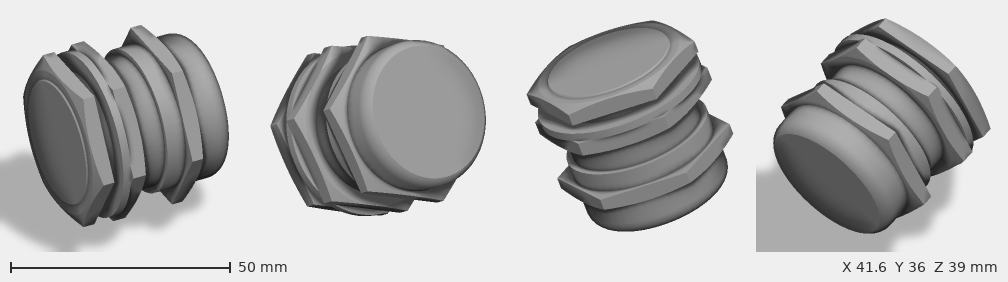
import cadquery as cq
import math


nut_front = 0.37
nut_back = 4.32
washer_front = 7.0
washer_back = 8.9
body_hex_back = 13.0
cap_front = 19.5
cap_hex_front = 24.0
cap_hex_back = 28.0
dome_start = 33.0
total_length = 36.0

thread_diameter = 30.0
thread_chamfer = 0.5
washer_diameter = 39.0
body_diameter = 31.0
cap_diameter = 34.0
dome_end_diameter = 30.6

hex_corners = 41.55
nut_corners = 40.5
body_hex_face_diameter = 36.25
chamfer_angle = 20


def cylinder(diameter, start, end):
    """Cylinder along Y between two axial positions."""
    return cq.Workplane("XZ", origin=(0, start, 0)).circle(diameter / 2).extrude(start - end)


def chamfered_hexagon(corners, face_diameter, plain_face, chamfered_face):
    """Hexagonal prism whose corners are cut by a cone at one end face."""
    prism = (
        cq.Workplane("XZ", origin=(0, plain_face, 0))
        .polygon(6, corners)
        .extrude(plain_face - chamfered_face)
    )
    inward = math.copysign(1, plain_face - chamfered_face)
    corner_radius = corners / 2
    face_radius = face_diameter / 2
    cone_depth = (corner_radius - face_radius) * math.tan(math.radians(chamfer_angle))
    envelope = (
        cq.Workplane("XY")
        .moveTo(0, chamfered_face)
        .lineTo(face_radius, chamfered_face)
        .lineTo(corner_radius, chamfered_face + inward * cone_depth)
        .lineTo(corner_radius, plain_face)
        .lineTo(0, plain_face)
        .close()
        .revolve(360, (0, 0, 0), (0, 1, 0))
    )
    return prism.intersect(envelope)


def domed_cap():
    """Round cap whose rim curves inward, tangent to its side, to a flat end."""
    return (
        cq.Workplane("XY")
        .moveTo(0, cap_front)
        .lineTo(cap_diameter / 2, cap_front)
        .lineTo(cap_diameter / 2, dome_start)
        .tangentArcPoint((dome_end_diameter / 2, total_length), relative=False)
        .lineTo(0, total_length)
        .close()
        .revolve(360, (0, 0, 0), (0, 1, 0))
    )


thread = cylinder(thread_diameter, 0, washer_front).faces("<Y").chamfer(thread_chamfer)
locknut = chamfered_hexagon(nut_corners, cap_diameter, nut_back, nut_front)
washer = cylinder(washer_diameter, washer_front, washer_back)
body_hex = chamfered_hexagon(hex_corners, body_hex_face_diameter, washer_back, body_hex_back)
body = cylinder(body_diameter, washer_back, cap_front)
cap_hex = chamfered_hexagon(hex_corners, cap_diameter, cap_hex_front, cap_hex_back)

result = thread
for section in (locknut, washer, body_hex, body, domed_cap(), cap_hex):
    result = result.union(section)